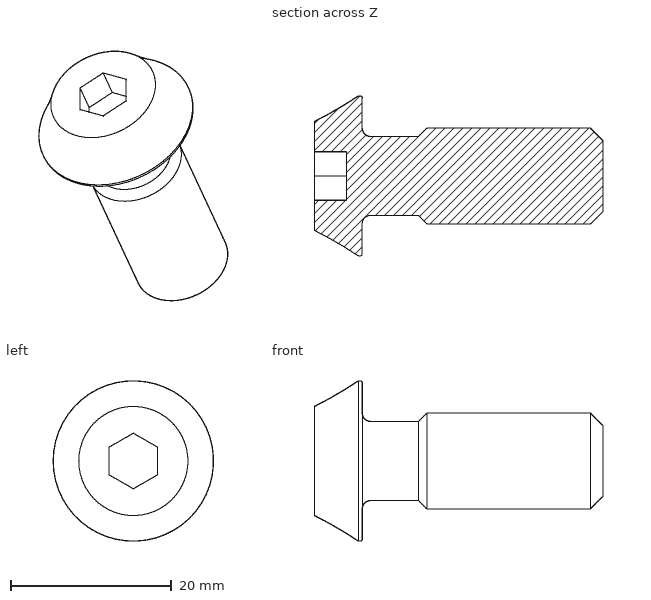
import cadquery as cq
import math

total_length = 36.0
head_height = 6.0
head_radius = 10.0

face_radius = 6.8
rim_width = 0.5
rim_fillet = 0.3
flank_hollow = 0.1

socket_across_flats = 6.0
socket_depth = 4.0

shank_radius = 6.0
neck_radius = 4.95
neck_end = 13.0
neck_fillet = 1.0
tip_chamfer = 1.6


def flank_middle(rim_start):
    """Middle point of the flank, set in from the straight chord by the hollow."""
    run = rim_start
    rise = head_radius - face_radius
    chord = math.hypot(run, rise)
    middle_x = run / 2 + flank_hollow * rise / chord
    middle_radius = (face_radius + head_radius) / 2 - flank_hollow * run / chord
    return (middle_x, middle_radius)


def quarter_arc_point(center_x, center_radius, radius, x_sign, radial_sign):
    """Middle point of a quarter arc in the direction given by the two signs."""
    offset = radius * math.sqrt(0.5)
    return (center_x + x_sign * offset, center_radius + radial_sign * offset)


def turned_body():
    """Head, neck and shank as one half profile turned about the X axis."""
    rim_start = head_height - rim_width
    rim_fillet_x = head_height - rim_fillet
    rim_fillet_radius = head_radius - rim_fillet
    neck_start = head_height + neck_fillet
    neck_fillet_radius = neck_radius + neck_fillet
    shank_start = neck_end + shank_radius - neck_radius

    rim_arc_middle = quarter_arc_point(rim_fillet_x, rim_fillet_radius, rim_fillet, 1, 1)
    neck_arc_middle = quarter_arc_point(neck_start, neck_fillet_radius, neck_fillet, -1, -1)

    profile = (
        cq.Workplane("XY")
        .lineTo(0, face_radius)
        .threePointArc(flank_middle(rim_start), (rim_start, head_radius))
        .lineTo(rim_fillet_x, head_radius)
        .threePointArc(rim_arc_middle, (head_height, rim_fillet_radius))
        .lineTo(head_height, neck_fillet_radius)
        .threePointArc(neck_arc_middle, (neck_start, neck_radius))
        .lineTo(neck_end, neck_radius)
        .lineTo(shank_start, shank_radius)
        .lineTo(total_length - tip_chamfer, shank_radius)
        .lineTo(total_length, shank_radius - tip_chamfer)
        .lineTo(total_length, 0)
        .close()
    )
    return profile.revolve(360, (0, 0, 0), (1, 0, 0))


def hex_socket():
    """Blind hexagon with its flats facing Y and two corners on the Z axis."""
    across_corners = socket_across_flats / math.cos(math.pi / 6)
    return (
        cq.Workplane("YZ")
        .transformed(rotate=(0, 0, 90))
        .polygon(6, across_corners)
        .extrude(socket_depth)
    )


result = turned_body().cut(hex_socket())